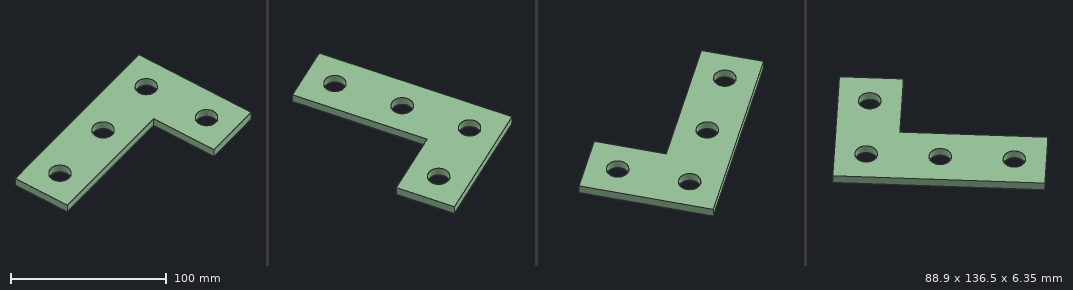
import cadquery as cq

arm_width = 41.275
hole_pitch = 47.625
hole_diameter = 14.2875
thickness = 6.35

short_arm_pitches = 1
long_arm_pitches = 2

overall_x = arm_width + short_arm_pitches * hole_pitch
overall_y = arm_width + long_arm_pitches * hole_pitch


def make_plate():
    """L outline: long arm along Y, short arm along X at the +Y end."""
    inner_corner_y = overall_y - arm_width
    outline = [
        (0, 0),
        (arm_width, 0),
        (arm_width, inner_corner_y),
        (overall_x, inner_corner_y),
        (overall_x, overall_y),
        (0, overall_y),
    ]
    return cq.Workplane("XY").polyline(outline).close().extrude(thickness)


def hole_centers():
    """Holes follow the arm centerlines at one pitch, sharing the corner hole."""
    corner_x = arm_width / 2
    corner_y = overall_y - arm_width / 2
    long_arm = [(corner_x, corner_y - i * hole_pitch) for i in range(long_arm_pitches + 1)]
    short_arm = [(corner_x + i * hole_pitch, corner_y) for i in range(1, short_arm_pitches + 1)]
    return long_arm + short_arm


def drill_holes(plate):
    """Plain through holes across the full thickness."""
    return plate.faces(">Z").workplane(origin=(0, 0, 0)).pushPoints(hole_centers()).hole(hole_diameter)


result = drill_holes(make_plate())